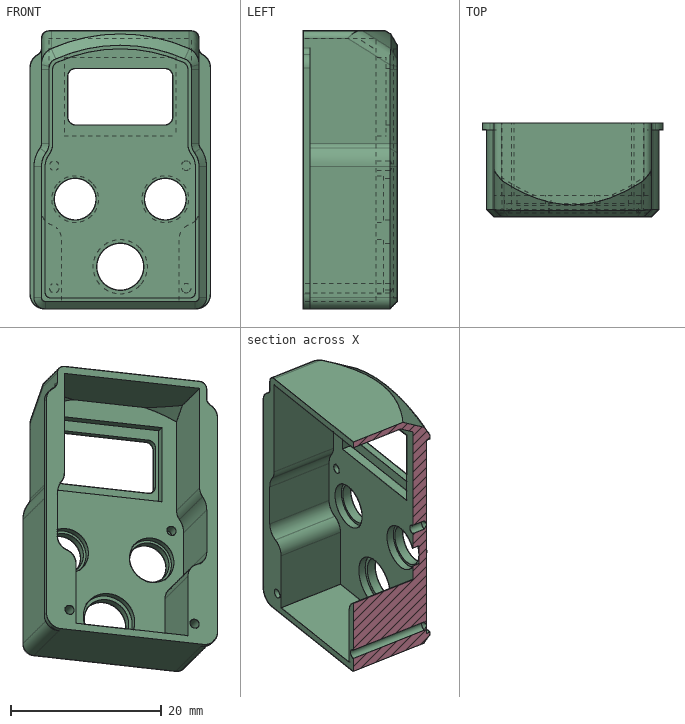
import cadquery as cq
import math

depth = 12.5
width = 24.0
height = 37.0
wall = 1.0
flange_thickness = 0.92
recess_depth = 0.5
plate_back = 2.85

body_half_width = 11.47
neck_half_width = 10.47
flange_half_width = width / 2
shoulder_base = 18.98
shoulder_radius = 4.0
flange_shoulder_base = 32.08
flange_corner_radius = 2.0
inner_bend_radius = 1.0
base_corner_radius = 1.5
top_corner_radius = 1.0

brow_radius = 22.0
brow_top = 36.08
brow_angle = math.radians(30)
brow_edge_radius = 2.0
front_chamfer = 1.0
lip_width = 0.48
recess_base_radius = 0.75
recess_top_radius = 1.0

window_width = 13.9
window_base = 24.5
window_top = 31.95
window_radius = 1.0
window_wall = 1.0
pocket_side_margin = 0.45
pocket_end_margin = 1.48

side_hole_diameter = 5.5
side_hole_bore = 6.2
side_hole_x = 6.0
side_hole_z = 14.6
lower_hole_diameter = 6.2
lower_hole_bore = 7.2
lower_hole_z = 5.62
hole_wall = 1.3

screw_diameter = 1.25
screw_x = 8.77
screw_heights = (2.78, 19.05)
screw_point_angle = 118
screw_tip_gap = 0.05

block_half_gap = 7.85
block_top = 13.02
block_radius = 1.92

position_tolerance = 0.05


def shoulder_end(base, wide, narrow, convex, concave):
    """Arc angle, bend point and upper end of an S-shaped shoulder that narrows upward."""
    turn = math.acos(1 - (wide - narrow) / (convex + concave))
    bend = (wide - convex * (1 - math.cos(turn)), base + convex * math.sin(turn))
    return turn, bend, base + (convex + concave) * math.sin(turn)


def outline(wide, narrow, base, convex, concave, bottom, top, start, end):
    """Symmetric outline with S-shaped shoulders, extruded from Y start to end."""
    turn, bend, neck_z = shoulder_end(base, wide, narrow, convex, concave)
    half = turn / 2
    convex_mid = (wide - convex * (1 - math.cos(half)), base + convex * math.sin(half))
    concave_mid = (narrow + concave * (1 - math.cos(half)), neck_z - concave * math.sin(half))

    def left(point):
        return (-point[0], point[1])

    profile = (
        cq.Workplane("XZ", origin=(0, start, 0))
        .moveTo(-wide, bottom)
        .lineTo(wide, bottom)
        .lineTo(wide, base)
        .threePointArc(convex_mid, bend)
        .threePointArc(concave_mid, (narrow, neck_z))
        .lineTo(narrow, top)
        .lineTo(-narrow, top)
        .lineTo(-narrow, neck_z)
        .threePointArc(left(concave_mid), left(bend))
        .threePointArc(left(convex_mid), (-wide, base))
        .close()
    )
    return profile.extrude(start - end)


def inset_outline(inset, start, end):
    """Body outline moved inward by a constant distance."""
    return outline(
        body_half_width - inset, neck_half_width - inset, shoulder_base,
        shoulder_radius - inset, inner_bend_radius + inset,
        inset, height - inset, start, end,
    )


def brow_cone(inset):
    """Cone that widens toward the back, bounding the arched brow."""
    front_radius = brow_radius - inset
    return cq.Workplane(
        cq.Solid.makeCone(
            front_radius, front_radius + depth * math.tan(brow_angle), depth,
            cq.Vector(0, 0, brow_top - brow_radius), cq.Vector(0, 1, 0),
        )
    )


def box(width, z_low, z_high, start, end):
    return (
        cq.Workplane("XY")
        .box(width, end - start, z_high - z_low, centered=(True, False, False))
        .translate((0, start, z_low))
    )


def cylinder(diameter, x, z, start, end):
    return (
        cq.Workplane("XZ", origin=(x, start, z))
        .circle(diameter / 2)
        .extrude(start - end)
    )


def is_brow_side(edge):
    """True for the curved edges where the cone meets the flat neck sides."""
    on_side = math.isclose(abs(edge.Center().x), neck_half_width, abs_tol=position_tolerance)
    return on_side and edge.geomType() == "HYPERBOLA"


def make_body():
    outer = inset_outline(0, 0, depth)
    outer = outer.edges("|Y and <Z").fillet(base_corner_radius)
    rounded_top = outer.edges("|Y and >Z").fillet(top_corner_radius)
    body = outer.intersect(brow_cone(0))
    brow_sides = [edge for edge in body.edges().vals() if is_brow_side(edge)]
    body = body.newObject(brow_sides).fillet(brow_edge_radius)
    body = body.intersect(rounded_top)
    return body.faces("<Y").chamfer(front_chamfer)


def make_flange():
    flange = outline(
        flange_half_width, neck_half_width, flange_shoulder_base,
        flange_corner_radius, inner_bend_radius,
        0, height - top_corner_radius, depth - flange_thickness, depth,
    )
    return flange.edges("|Y and <Z").fillet(flange_corner_radius)


def make_face_recess():
    """Shallow panel in the front face, leaving a narrow raised lip."""
    inset = front_chamfer + lip_width
    recess = inset_outline(inset, 0, recess_depth)
    recess = recess.edges("|Y and <Z").fillet(recess_base_radius)
    panel_arch = cylinder(2 * (brow_radius - inset), 0, brow_top - brow_radius, 0, recess_depth)
    recess = recess.intersect(panel_arch)
    upper_edges = cq.selectors.BoxSelector(
        (-neck_half_width, 0, window_top), (neck_half_width, recess_depth, height)
    )
    recess = recess.edges("|Y").edges(upper_edges).fillet(recess_top_radius)
    return recess


def make_cavity():
    """Hollow behind the front plate, following the outside at one wall thickness."""
    cavity = inset_outline(wall, plate_back, depth)
    cavity = cavity.intersect(brow_cone(wall / math.cos(brow_angle)))
    room_between_blocks = outline(
        body_half_width - wall, block_half_gap, -block_top,
        block_radius, block_radius,
        -height, 0, plate_back, depth,
    ).mirror("XY")
    return cavity.intersect(room_between_blocks)


def make_window():
    opening = box(window_width, window_base, window_top, 0, plate_back)
    opening = opening.edges("|Y").fillet(window_radius)
    pocket = box(
        window_width + 2 * pocket_side_margin,
        window_base - pocket_end_margin,
        window_top + pocket_end_margin,
        recess_depth + window_wall,
        plate_back,
    )
    return opening.union(pocket)


def make_button_hole(diameter, bore, x, z):
    hole = cylinder(diameter, x, z, 0, plate_back)
    return hole.union(cylinder(bore, x, z, recess_depth + hole_wall, plate_back))


def make_screw_hole(x, z):
    """Blind hole from the back whose point stops just short of the recess floor."""
    radius = screw_diameter / 2
    point = radius / math.tan(math.radians(screw_point_angle / 2))
    tip = recess_depth + screw_tip_gap
    cone = cq.Solid.makeCone(0, radius, point, cq.Vector(x, tip, z), cq.Vector(0, 1, 0))
    return cylinder(screw_diameter, x, z, tip + point, depth).union(cq.Workplane(cone))


result = make_body().union(make_flange())
result = result.cut(make_face_recess()).cut(make_cavity()).cut(make_window())
result = result.cut(make_button_hole(lower_hole_diameter, lower_hole_bore, 0, lower_hole_z))
for side in (-1, 1):
    result = result.cut(
        make_button_hole(side_hole_diameter, side_hole_bore, side * side_hole_x, side_hole_z)
    )
    for screw_z in screw_heights:
        result = result.cut(make_screw_hole(side * screw_x, screw_z))